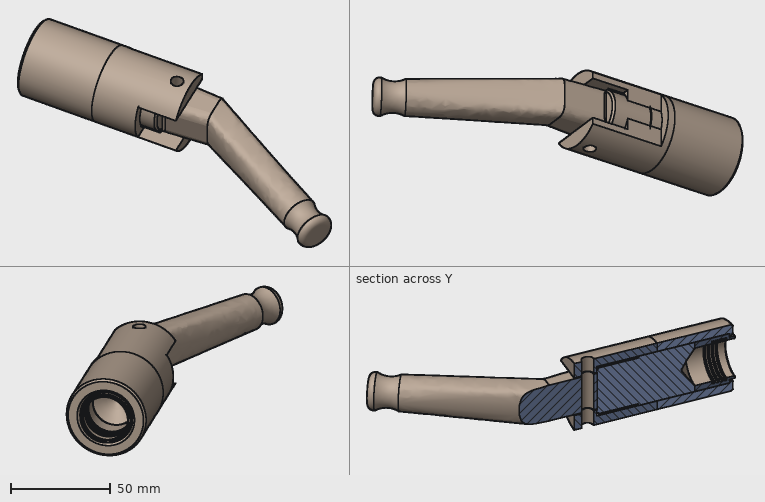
import cadquery as cq
import math


HOUSING_R = 20.5
SLEEVE_FRONT_X = 1.1
SLEEVE_CHAMFER = 1.1
FORK_FRONT_X = 43.0
FORK_REAR_X = 88.3
MOUTH_R = 14.8
LIP_R = 27.2 / 2
LIP_REAR_X = 3.0
BORE_R = 15.0

SLOT_X = 67.2
SLOT_WIDTH = 22.8
FLAT_X = 47.0
FLAT_Y = 14.0
PIVOT_X = 80.9
PIVOT_D = 6.5

COLLET_NOSE_R = 13.1
COLLET_BORE_R = 22.8 / 2
COLLET_EDGE = 0.4
COLLET_BORE_EDGE = 0.5
COLLET_REAR_X = 22.2
GROOVE_R = 13.0
GROOVE_PITCH = 2.2
GROOVE_WIDTH = 1.1
GROOVE_COUNT = 4
FIRST_GROOVE_X = 4.8

PLUNGER_STEP_X = 53.3
PLUNGER_REAR_X = 75.9
PLUNGER_REAR_R = 14.2
PLUNGER_CHAMFER = 1.1
SEAT_R = 22.4 / 2
SEAT_DEPTH = 4.5
DRILL_R = 4.8
DRILL_TIP = 2.8

ROOT_FRONT_X = PLUNGER_REAR_X
ROOT_FRONT_HALF_Y = 11.1
CRANK_X = 102.1
ROOT_LENGTH = CRANK_X - ROOT_FRONT_X
CRANK_HALF_Y = 18.7 / 2
LEVER_HALF_Z = 11.1
ROOT_ROUND = 5.0
GRIP_ANGLE = 30.2
GRIP_LENGTH = 75.3
GRIP_END_R = 9.5
CRANK_SECTION_POWER = 4.4
SECTION_POINTS = 24
NECK_S = 82.1
NECK_R = 16.1 / 2
RIM_FRONT_S = 87.7
RIM_S = 88.3
RIM_R = 9.8
RIM_ROUND = 3.3


def revolve_about_x(points):
    """Solid of revolution about the X axis from a closed outline of (x, radius) points."""
    return cq.Workplane("XY").polyline(points).close().revolve(360, (0, 0, 0), (1, 0, 0))


def cylinder_along_x(x_start, x_end, radius):
    return cq.Workplane("YZ", origin=(x_start, 0, 0)).circle(radius).extrude(x_end - x_start)


def pivot_hole():
    """Cutter for the pivot hole, which runs along Z through the fork and the lever."""
    return (
        cq.Workplane("XY", origin=(PIVOT_X, 0, -HOUSING_R))
        .circle(PIVOT_D / 2)
        .extrude(2 * HOUSING_R)
    )


def make_sleeve():
    """Front tube with a chamfered rim and a countersunk lip that keeps the collet in."""
    countersink_x = SLEEVE_FRONT_X + MOUTH_R - LIP_R
    return revolve_about_x(
        [
            (SLEEVE_FRONT_X, MOUTH_R),
            (SLEEVE_FRONT_X, HOUSING_R - SLEEVE_CHAMFER),
            (SLEEVE_FRONT_X + SLEEVE_CHAMFER, HOUSING_R),
            (FORK_FRONT_X, HOUSING_R),
            (FORK_FRONT_X, BORE_R),
            (LIP_REAR_X, BORE_R),
            (LIP_REAR_X, LIP_R),
            (countersink_x, LIP_R),
        ]
    )


def make_fork():
    """Rear tube, slotted for the lever and cut flat on its +Y side."""
    body = cylinder_along_x(FORK_FRONT_X, FORK_REAR_X, HOUSING_R)
    bore = cylinder_along_x(FORK_FRONT_X, PLUNGER_REAR_X, BORE_R)
    slot = cq.Workplane("XY").box(
        FORK_REAR_X - SLOT_X, 2 * HOUSING_R, SLOT_WIDTH, centered=(False, True, True)
    ).translate((SLOT_X, 0, 0))
    flat = cq.Workplane("XY").box(
        FORK_REAR_X - FLAT_X, HOUSING_R - FLAT_Y, 2 * HOUSING_R, centered=(False, False, True)
    ).translate((FLAT_X, FLAT_Y, 0))
    return body.cut(bore).cut(slot).cut(flat).cut(pivot_hole())


def make_collet():
    """Stepped bush whose nose stands out of the sleeve, with square grooves in its bore."""
    body = revolve_about_x(
        [
            (0, COLLET_BORE_R + COLLET_BORE_EDGE),
            (0, COLLET_NOSE_R - COLLET_EDGE),
            (COLLET_EDGE, COLLET_NOSE_R),
            (LIP_REAR_X, COLLET_NOSE_R),
            (LIP_REAR_X, BORE_R),
            (COLLET_REAR_X, BORE_R),
            (COLLET_REAR_X, COLLET_BORE_R),
            (COLLET_BORE_EDGE, COLLET_BORE_R),
        ]
    )
    for i in range(GROOVE_COUNT):
        x = FIRST_GROOVE_X + i * GROOVE_PITCH
        groove = cylinder_along_x(x, x + GROOVE_WIDTH, GROOVE_R)
        body = body.cut(groove)
    return body


def make_plunger():
    """Stepped piston with a conical seat that ends in a drill point."""
    seat_x = COLLET_REAR_X + SEAT_DEPTH
    return revolve_about_x(
        [
            (seat_x + DRILL_TIP, 0),
            (seat_x, DRILL_R),
            (COLLET_REAR_X, SEAT_R),
            (COLLET_REAR_X, BORE_R),
            (PLUNGER_STEP_X, BORE_R),
            (PLUNGER_STEP_X, PLUNGER_REAR_R),
            (PLUNGER_REAR_X - PLUNGER_CHAMFER, PLUNGER_REAR_R),
            (PLUNGER_REAR_X, PLUNGER_REAR_R - PLUNGER_CHAMFER),
            (PLUNGER_REAR_X, 0),
        ]
    )


def rounded_section(half_y):
    """Rounded rectangle across the lever, in the local axes of a YZ plane."""
    return cq.Sketch().rect(2 * half_y, 2 * LEVER_HALF_Z).vertices().fillet(ROOT_ROUND)


def make_lever_root():
    """Tapered block with rounded long edges, also rounded where its end turns into its sides."""
    crank_end = cq.Location(cq.Vector(0, 0, ROOT_LENGTH))
    block = (
        cq.Workplane("YZ", origin=(ROOT_FRONT_X, 0, 0))
        .placeSketch(
            rounded_section(ROOT_FRONT_HALF_Y),
            rounded_section(CRANK_HALF_Y).moved(crank_end),
        )
        .loft()
    )
    rounded_end = (
        cq.Workplane("XY")
        .box(2 * ROOT_LENGTH, 2 * ROOT_FRONT_HALF_Y, 4 * LEVER_HALF_Z, centered=(False, True, True))
        .translate((ROOT_FRONT_X, 0, 0))
        .edges("|Z and <X")
        .fillet(ROOT_ROUND)
    )
    return block.intersect(rounded_end)


def superellipse_wire(plane, half_y, half_z, power):
    """Closed smooth curve, squarer than an ellipse when the power is above 2."""
    points = []
    for i in range(SECTION_POINTS):
        angle = 2 * math.pi * i / SECTION_POINTS
        cosine = math.cos(angle)
        sine = math.sin(angle)
        reach = (abs(cosine) ** power + abs(sine) ** power) ** (-1 / power)
        points.append((half_y * reach * cosine, half_z * reach * sine))
    return cq.Workplane(plane).spline(points, periodic=True).wire().val()


def make_grip():
    """Smooth blend from a squarish section at the crank to a circle at the knob."""
    angle = math.radians(GRIP_ANGLE)
    end_plane = cq.Plane(
        origin=(CRANK_X + GRIP_LENGTH * math.cos(angle), -GRIP_LENGTH * math.sin(angle), 0),
        xDir=(math.sin(angle), math.cos(angle), 0),
        normal=(math.cos(angle), -math.sin(angle), 0),
    )
    crank_plane = cq.Plane.YZ(origin=(CRANK_X, 0, 0))
    crank_wire = superellipse_wire(crank_plane, CRANK_HALF_Y, LEVER_HALF_Z, CRANK_SECTION_POWER)
    knob_wire = cq.Workplane(end_plane).circle(GRIP_END_R).wires().val()
    return cq.Workplane(cq.Solid.makeLoft([crank_wire, knob_wire]))


def make_knob():
    """Necked end of the grip with a rounded rim, turned about the grip axis."""
    knob = (
        cq.Workplane("XY")
        .moveTo(GRIP_LENGTH, 0)
        .lineTo(GRIP_LENGTH, GRIP_END_R)
        .threePointArc((NECK_S, NECK_R), (RIM_FRONT_S, RIM_R))
        .lineTo(RIM_S, RIM_R)
        .radiusArc((RIM_S + RIM_ROUND, RIM_R - RIM_ROUND), RIM_ROUND)
        .lineTo(RIM_S + RIM_ROUND, 0)
        .close()
        .revolve(360, (0, 0, 0), (1, 0, 0))
    )
    return knob.rotate((0, 0, 0), (0, 0, 1), -GRIP_ANGLE).translate((CRANK_X, 0, 0))


def make_lever():
    """Root, grip and knob in one piece, drilled for the pivot."""
    return make_lever_root().union(make_grip()).union(make_knob()).cut(pivot_hole())


sleeve = make_sleeve()
fork = make_fork()
collet = make_collet()
plunger = make_plunger()
lever = make_lever()

result = cq.Compound.makeCompound(
    [
        sleeve.val(),
        *fork.solids().vals(),
        *collet.solids().vals(),
        plunger.val(),
        *lever.solids().vals(),
    ]
)